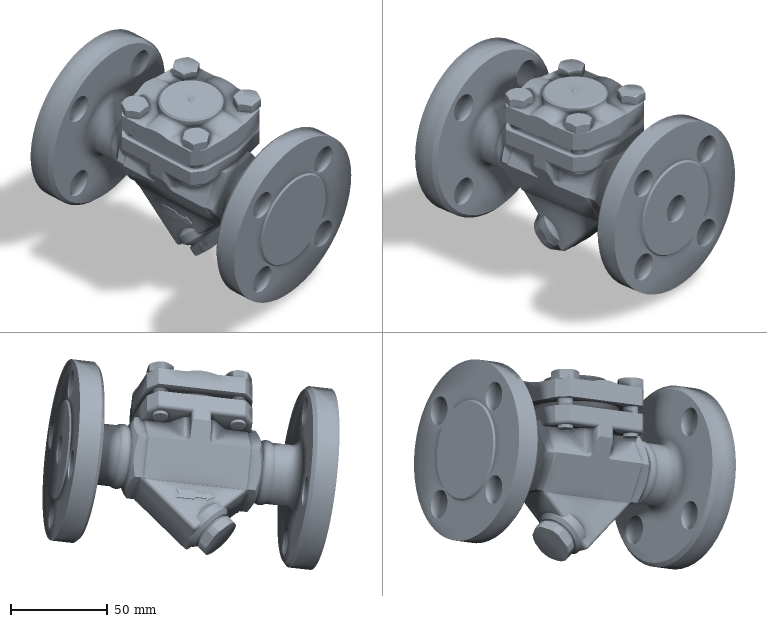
import cadquery as cq
import math

overall_length = 140.0
flange_diameter = 95.0
flange_chamfer = 2.0
raised_face_height = 1.0
raised_face_tip_diameter = 51.1
raised_face_root_diameter = 52.8
flange_inner_x = 55.5
pipe_diameter = 32.0
pipe_fillet = 3.9
bead_diameter = 34.0
bead_outer_x = 41.2
bore_diameter = 15.0
flange_bolt_circle = 70.0
flange_bolt_hole = 15.0

hex_end_x = 35.3
hex_end_apothem = 18.5
hex_mid_apothem = 19.3
hex_mid_x = 28.0
hex_mid_chamfer = 0.8
hex_turned_angle = 30.0
hex_turned_depth = 5.6

plate_half_x = 31.1
plate_shoulder_x = 28.1
plate_shoulder_y = 22.1
plate_front_x = 23.1
plate_half_y = 28.1
plate_bottom_z = 15.1
plate_top_z = 24.9
plate_fillet = 1.7
cover_bottom_z = 29.3
cover_top_z = 38.9
gasket_diameter = 45.8

neck_half_y = 21.0
neck_corner_sum = 29.1
rib_half_width = 5.2
rib_edge_radius = 1.8
rib_foot_fillet = 1.4
neck_fillet = 2.0
neck_fillet_reach_x = 15.4
neck_fillet_reach_y = 14.0
neck_fillet_reach_z = 16.8

cap_diameter = 34.0
cap_top_z = 44.4
cap_chamfer = 1.0
cap_fillet = 1.1
cap_edge_clearance = 0.1
nipple_diameter = 3.1
nipple_height = 1.0
hump_inner_radius = 12.6
hump_inner_half_width = 10.1
hump_inner_height = 3.4
hump_outer_half_width = 7.4
hump_outer_height = 1.0

bolt_offset = 20.7
bolt_shank_diameter = 8.0
bolt_end_z = 13.5
bolt_head_flats = 12.9
bolt_head_height = 5.0
bolt_head_bevel = 0.1

pocket_half_y = 11.0
pocket_apex_x = -0.3
pocket_apex_z = -47.0
pocket_fillet = 1.7
plug_axis_offset = 20.0
plug_boss_diameter = 27.0
plug_boss_start = 28.8
plug_boss_end = 35.4
plug_boss_chamfer = 2.0
plug_neck_diameter = 21.0
plug_head_start = 36.8
plug_head_end = 42.1
plug_head_flats = 22.0
plug_head_diameter = 23.4
plug_head_bevel = 0.4

arrow_centre_z = -26.2
arrow_half_length = 10.1
arrow_height = 0.5
arrow_tail_half = 2.5
arrow_shaft_half = 1.3
arrow_notch = 1.4
arrow_shaft_start = 0.3
arrow_shaft_end = 5.9


def hexagon_prism(across_flats, height):
    """Hexagonal prism on the XY plane with corners on the X axis."""
    across_corners = across_flats / math.cos(math.pi / 6)
    return cq.Workplane("XY").polygon(6, across_corners).extrude(height)


def turned_hexagon(across_flats, height, bevel):
    """Bolt head standing on the XY plane, its upper corners turned off by a cone."""
    corner_radius = across_flats / 2 / math.cos(math.pi / 6)
    rise = corner_radius - across_flats / 2 + bevel
    turned = (
        cq.Workplane("XY")
        .circle(corner_radius)
        .extrude(height)
        .faces(">Z")
        .chamfer(rise * math.tan(math.pi / 6), rise)
    )
    return hexagon_prism(across_flats, height).intersect(turned)


def pipe_end():
    """The -X flange, its pipe and the weld bead, revolved about X."""
    tip_x = overall_length / 2
    face_x = tip_x - raised_face_height
    flange_radius = flange_diameter / 2
    pipe_radius = pipe_diameter / 2
    bead_mid_x = (bead_outer_x + hex_end_x) / 2
    arc_centre_x = flange_inner_x - pipe_fillet
    arc_centre_r = pipe_radius + pipe_fillet
    arc_reach = pipe_fillet * math.sqrt(0.5)
    end = (
        cq.Workplane("XY")
        .moveTo(-tip_x, 0)
        .lineTo(-tip_x, raised_face_tip_diameter / 2)
        .lineTo(-face_x, raised_face_root_diameter / 2)
        .lineTo(-face_x, flange_radius)
        .lineTo(-flange_inner_x - flange_chamfer, flange_radius)
        .lineTo(-flange_inner_x, flange_radius - flange_chamfer)
        .lineTo(-flange_inner_x, arc_centre_r)
        .threePointArc(
            (-arc_centre_x - arc_reach, arc_centre_r - arc_reach),
            (-arc_centre_x, pipe_radius),
        )
        .lineTo(-bead_outer_x, pipe_radius)
        .threePointArc((-bead_mid_x, bead_diameter / 2), (-hex_end_x, pipe_radius))
        .lineTo(-hex_mid_x, pipe_radius)
        .lineTo(-hex_mid_x, 0)
        .close()
        .revolve(360, (0, 0, 0), (1, 0, 0))
    )
    holes = (
        cq.Workplane("YZ", origin=(-tip_x, 0, 0))
        .polarArray(flange_bolt_circle / 2, 45, 360, 4)
        .circle(flange_bolt_hole / 2)
        .extrude(tip_x - flange_inner_x)
    )
    return end.cut(holes)


def bore():
    """Blind inlet bore reaching the end face of the hexagon."""
    depth = overall_length / 2 - hex_end_x
    return (
        cq.Workplane("YZ", origin=(-overall_length / 2, 0, 0))
        .circle(bore_diameter / 2)
        .extrude(depth)
    )


def hexagon_along_x(apothem, half_length):
    across_corners = 2 * apothem / math.cos(math.pi / 6)
    return cq.Workplane("YZ").polygon(6, across_corners).extrude(half_length, both=True)


def hexagon_body():
    """Slim hexagon with turned ends and a slightly larger hexagon over its middle."""
    corner_radius = hex_end_apothem / math.cos(math.pi / 6)
    turned_length = hex_turned_depth * math.tan(math.radians(hex_turned_angle))
    turned = (
        cq.Workplane("YZ")
        .circle(corner_radius)
        .extrude(hex_end_x, both=True)
        .faces("<X or >X")
        .chamfer(turned_length, hex_turned_depth)
    )
    slim = hexagon_along_x(hex_end_apothem, hex_end_x).intersect(turned)
    middle = hexagon_along_x(hex_mid_apothem, hex_mid_x).faces("<X or >X").chamfer(hex_mid_chamfer)
    return slim.union(middle)


def plate(bottom_z, top_z):
    corners = [
        (plate_half_x, 0),
        (plate_shoulder_x, plate_shoulder_y),
        (plate_front_x, plate_half_y),
        (-plate_front_x, plate_half_y),
        (-plate_shoulder_x, plate_shoulder_y),
        (-plate_half_x, 0),
        (-plate_shoulder_x, -plate_shoulder_y),
        (-plate_front_x, -plate_half_y),
        (plate_front_x, -plate_half_y),
        (plate_shoulder_x, -plate_shoulder_y),
    ]
    return cq.Workplane("XY", origin=(0, 0, bottom_z)).polyline(corners).close().extrude(top_z - bottom_z)


def neck():
    """Octagonal neck rising from the hexagon into the body plate."""
    side = 2 * neck_half_y
    return (
        cq.Workplane("XY")
        .rect(side, side)
        .extrude(plate_top_z)
        .edges("|Z")
        .chamfer(side - neck_corner_sum)
    )


def ribs():
    """Front and rear ribs whose undersides continue the lower faces of the hexagon."""
    corner_y = hex_mid_apothem / math.cos(math.pi / 6)
    meeting_z = (plate_half_y - corner_y) / math.tan(math.pi / 6)
    profile = [
        (-corner_y, 0),
        (-plate_half_y, meeting_z),
        (-plate_half_y, plate_top_z),
        (plate_half_y, plate_top_z),
        (plate_half_y, meeting_z),
        (corner_y, 0),
    ]
    upright = cq.Workplane("YZ").polyline(profile).close().extrude(rib_half_width, both=True)
    upright = upright.edges("|X").edges("<Y or >Y").fillet(rib_foot_fillet)
    rounded = (
        cq.Workplane("XY")
        .rect(2 * rib_half_width, 2 * plate_half_y)
        .extrude(plate_top_z)
        .edges("|Z")
        .fillet(rib_edge_radius)
    )
    return upright.intersect(rounded)


def ribbed_body():
    """Hexagon, neck and ribs with the corners between them rounded on both sides."""
    body = hexagon_body().union(neck()).union(ribs())
    beyond_neck_y = neck_half_y + neck_fillet
    for near_y, far_y in ((-beyond_neck_y, -neck_fillet_reach_y), (neck_fillet_reach_y, beyond_neck_y)):
        zone = cq.selectors.BoxSelector(
            (-neck_fillet_reach_x, near_y, hex_mid_chamfer),
            (neck_fillet_reach_x, far_y, neck_fillet_reach_z),
        )
        body = body.edges(zone).fillet(neck_fillet)
    return body


def body_plate():
    return plate(plate_bottom_z, plate_top_z).faces("<Z").edges().fillet(plate_fillet)


def gasket():
    return (
        cq.Workplane("XY", origin=(0, 0, plate_top_z))
        .circle(gasket_diameter / 2)
        .extrude(cover_bottom_z - plate_top_z)
    )


def cover_hump(angle):
    """Low arched ridge falling from the cap to the rim of the cover, pointing along `angle`."""
    run = plate_half_x - hump_inner_radius
    ridge = (
        cq.Workplane("YZ", origin=(hump_inner_radius, 0, cover_top_z))
        .moveTo(-hump_inner_half_width, 0)
        .threePointArc((0, hump_inner_height), (hump_inner_half_width, 0))
        .close()
        .workplane(offset=run)
        .moveTo(-hump_outer_half_width, 0)
        .threePointArc((0, hump_outer_height), (hump_outer_half_width, 0))
        .close()
        .loft(ruled=True)
    )
    return ridge.rotate((0, 0, 0), (0, 0, 1), angle)


def cover():
    """Cover plate with four humps running into a round cap that carries a small nipple."""
    humps = cover_hump(0)
    for angle in (90, 180, 270):
        humps = humps.union(cover_hump(angle))
    humps = humps.intersect(plate(cover_bottom_z, cap_top_z))

    cap_radius = cap_diameter / 2
    cap = (
        cq.Workplane("XY", origin=(0, 0, cover_bottom_z))
        .circle(cap_radius)
        .extrude(cap_top_z - cover_bottom_z)
        .faces(">Z")
        .chamfer(cap_chamfer)
    )
    nipple = (
        cq.Workplane("XY", origin=(0, 0, cap_top_z))
        .circle(nipple_diameter / 2)
        .extrude(nipple_height, taper=45)
    )
    top = plate(cover_bottom_z, cover_top_z).union(humps).union(cap)
    root_reach = cap_radius + cap_fillet
    root_zone = cq.selectors.BoxSelector(
        (-root_reach, -root_reach, cover_top_z - cap_fillet),
        (root_reach, root_reach, cap_top_z - cap_chamfer - cap_edge_clearance),
    )
    root = top.edges(root_zone).edges("%CIRCLE or %BSPLINE")
    top = root.fillet(cap_fillet)
    return top.union(nipple)


def cover_bolt(x, y, head_angle):
    head = turned_hexagon(bolt_head_flats, bolt_head_height, bolt_head_bevel)
    head = head.rotate((0, 0, 0), (0, 0, 1), head_angle).translate((x, y, cover_top_z))
    shank = (
        cq.Workplane("XY", origin=(x, y, bolt_end_z))
        .circle(bolt_shank_diameter / 2)
        .extrude(cover_top_z - bolt_end_z)
    )
    return head.union(shank)


def strainer_pocket():
    """Triangular pocket body with 45 degree flanks and rounded edges."""
    half_width = -pocket_apex_z
    return (
        cq.Workplane("XZ", origin=(pocket_apex_x, 0, 0))
        .polyline([(-half_width, 0), (half_width, 0), (0, pocket_apex_z)])
        .close()
        .extrude(pocket_half_y, both=True)
        .edges("<Z")
        .fillet(pocket_fillet)
        .faces("<Y or >Y")
        .edges("not(>Z)")
        .fillet(pocket_fillet)
    )


def strainer_plug():
    """Coned boss, neck and hexagon head, built upright and tipped onto the plug axis."""
    boss_radius = plug_boss_diameter / 2
    stem = (
        cq.Workplane("XZ")
        .moveTo(0, plug_boss_start - boss_radius)
        .lineTo(boss_radius, plug_boss_start)
        .lineTo(boss_radius, plug_boss_end - plug_boss_chamfer)
        .lineTo(boss_radius - plug_boss_chamfer, plug_boss_end)
        .lineTo(plug_neck_diameter / 2, plug_boss_end)
        .lineTo(plug_neck_diameter / 2, plug_head_start)
        .lineTo(0, plug_head_start)
        .close()
        .revolve(360, (0, 0, 0), (0, 1, 0))
    )
    head_length = plug_head_end - plug_head_start
    turned = cq.Workplane("XY").circle(plug_head_diameter / 2).extrude(head_length)
    turned = turned.faces("<Z or >Z").chamfer(plug_head_bevel)
    head = hexagon_prism(plug_head_flats, head_length).intersect(turned)
    plug = stem.union(head.translate((0, 0, plug_head_start)))
    return plug.translate((plug_axis_offset, 0, 0)).rotate((0, 0, 0), (0, 1, 0), 135)


def flow_arrow():
    """Raised arrow on the front face of the strainer pocket, pointing along +X."""
    upper = [
        (-arrow_half_length, arrow_tail_half),
        (arrow_shaft_start - arrow_shaft_half, arrow_tail_half),
        (arrow_shaft_start, arrow_shaft_half),
        (arrow_shaft_end, arrow_shaft_half),
        (arrow_shaft_end, arrow_tail_half),
    ]
    lower = [(x, -z) for x, z in reversed(upper)]
    notch = (-arrow_half_length + arrow_notch, 0)
    outline = upper + [(arrow_half_length, 0)] + lower + [notch]
    return (
        cq.Workplane("XZ", origin=(0, -pocket_half_y, arrow_centre_z))
        .polyline(outline)
        .close()
        .extrude(arrow_height)
    )


result = ribbed_body()
for part in (body_plate(), gasket(), cover()):
    result = result.union(part)

for part in (strainer_pocket(), flow_arrow(), strainer_plug()):
    result = result.union(part)

for x_side, y_side, head_angle in ((-1, -1, 30), (1, -1, 0), (-1, 1, 0), (1, 1, 30)):
    result = result.union(cover_bolt(x_side * bolt_offset, y_side * bolt_offset, head_angle))

inlet = pipe_end()
result = result.union(inlet).union(inlet.mirror("YZ")).cut(bore())